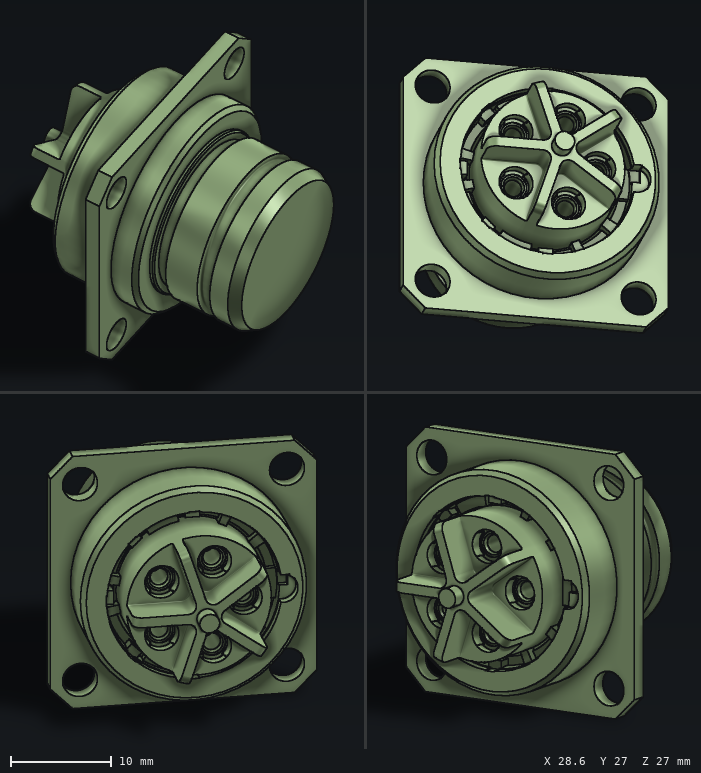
import cadquery as cq
import math


PIN_TIP_X = 0
CORE_FRONT_X = 1.5
POCKET_FLOOR_X = 5.02
EARTH_POCKET_FLOOR_X = 6.0
SHELL_FRONT_X = 7.82
FLANGE_FRONT_X = 13.42
SHELL_BACK_X = 18.05
COLLAR_BACK_X = 18.53
NECK_BACK_X = 19.9
GROOVE_FRONT_X = 23.67
GROOVE_BACK_X = 25.18
TAIL_CHAMFER_X = 27.32
TAIL_END_X = 28.55

PIN_RADIUS = 1.0
CORE_RADIUS = 7.42
CORE_ROUND = 1.0
SHELL_RADIUS = 11.45
SHELL_CHAMFER_RADIAL = 0.49
SHELL_CHAMFER_FRONT = 0.57
SHELL_CHAMFER_BACK = 0.49
COLLAR_RADIUS = 9.0
COLLAR_CHAMFER = 0.17
NECK_RADIUS = 8.08
TAIL_RADIUS = 8.88
TAIL_END_RADIUS = 8.2
GROOVE_RADIUS = 8.2
GROOVE_ROUND = 0.25

BORE_RADIUS = 8.88
BORE_DEPTH = 2.28
BORE_FLOOR_X = SHELL_FRONT_X + BORE_DEPTH
BORE_LIP_DEPTH = 0.95
LINER_MOUTH_RADIUS = 8.8
LINER_RADIUS = 8.68
LINER_LEAD_IN = 0.7
LINER_CHAMFER_RADIUS = 7.77
LINER_CHAMFER_DEPTH = 0.43
RIB_FRONT_X = SHELL_FRONT_X + 1.43
RIB_SECTORS = [(8, 15), (111.5, 118), (140.6, 148.4)]
WIDE_RIB_SECTOR = (55.5, 80)
LINER_CLEARANCE = 0.15
LATCH_ANGLES = [-90, -45, 0, 45, 90]
LATCH_FRONT_X = SHELL_FRONT_X + 1.0
LATCH_INNER_RADIUS = 7.97
LATCH_WIDTH = 1.45
LATCH_NOTCH_RADIUS = 8.95
LATCH_NOTCH_WIDTH = 1.03
KEY_FRONT_X = SHELL_FRONT_X + 1.7
KEY_WIDTH = 3.2

KEYWAY_RADIUS = 1.48
KEYWAY_CENTRE = 9.0
KEYWAY_DEPTH = 1.0
KEYWAY_STEP_REACH = 9.62
KEYWAY_STEP_DEPTH = 0.57

FLANGE_SIDE = 27.0
FLANGE_THICKNESS = 1.65
FLANGE_CHAMFER = 2.25
FLANGE_HOLE_DIAMETER = 3.5
FLANGE_HOLE_PITCH = 20.95

CONTACT_COUNT = 5
CONTACT_STEP = 360 / CONTACT_COUNT
WALL_THICKNESS = 1.05
POCKET_CORNER_ROUND = 0.85
POCKET_FLOOR_ROUND = 0.17
POCKET_OVERRUN = 1.15
EARTH_ANGLE = 180

CONTACT_PITCH_RADIUS = 4.77
WELL_RADIUS = 1.7
WELL_FLOOR_RADIUS = 1.5
WELL_DEPTH = 1.0
WELL_TAPER_HEIGHT = 2.4
CONTACT_RADIUS = 1.3
CONTACT_RECESS = 0.1
CONTACT_MOUTH_RADIUS = 1.08
CONTACT_MOUTH_DEPTH = 0.37
CONTACT_BORE_RADIUS = 0.89
CONTACT_BORE_DEPTH = 4.0


def disc(front_x, length, radius):
    """Cylinder on the X axis."""
    return cq.Workplane("YZ", origin=(front_x, 0, 0)).circle(radius).extrude(length)


def cone(front_x, length, front_radius, back_radius):
    """Truncated cone on the X axis."""
    back_x = front_x + length
    return (
        cq.Workplane("XY")
        .polyline([(front_x, 0), (front_x, front_radius), (back_x, back_radius), (back_x, 0)])
        .close()
        .revolve(360, (0, 0, 0), (1, 0, 0))
    )


def block(front_x, length, inner, outer, width):
    """Box lying along +Y, between two distances from the axis."""
    box = cq.Workplane("XY").box(length, outer - inner, width, centered=(False, False, True))
    return box.translate((front_x, inner, 0))


def turn(solid, angle):
    """Rotate about the X axis; +Y turns towards +Z."""
    return solid.rotate((0, 0, 0), (1, 0, 0), angle)


def turned_body():
    arc_mid = CORE_ROUND * math.sqrt(0.5)
    liner_mouth_x = SHELL_FRONT_X + BORE_LIP_DEPTH
    chamfered_radius = SHELL_RADIUS - SHELL_CHAMFER_RADIAL
    return (
        cq.Workplane("XY")
        .moveTo(PIN_TIP_X, 0)
        .lineTo(PIN_TIP_X, PIN_RADIUS)
        .lineTo(CORE_FRONT_X, PIN_RADIUS)
        .lineTo(CORE_FRONT_X, CORE_RADIUS - CORE_ROUND)
        .threePointArc(
            (CORE_FRONT_X + CORE_ROUND - arc_mid, CORE_RADIUS - CORE_ROUND + arc_mid),
            (CORE_FRONT_X + CORE_ROUND, CORE_RADIUS),
        )
        .lineTo(BORE_FLOOR_X + LINER_CHAMFER_DEPTH, CORE_RADIUS)
        .lineTo(BORE_FLOOR_X, LINER_CHAMFER_RADIUS)
        .lineTo(BORE_FLOOR_X, LINER_RADIUS)
        .lineTo(liner_mouth_x + LINER_LEAD_IN, LINER_RADIUS)
        .lineTo(liner_mouth_x, LINER_MOUTH_RADIUS)
        .lineTo(liner_mouth_x, BORE_RADIUS)
        .lineTo(SHELL_FRONT_X, BORE_RADIUS)
        .lineTo(SHELL_FRONT_X, chamfered_radius)
        .lineTo(SHELL_FRONT_X + SHELL_CHAMFER_FRONT, SHELL_RADIUS)
        .lineTo(SHELL_BACK_X - SHELL_CHAMFER_BACK, SHELL_RADIUS)
        .lineTo(SHELL_BACK_X, chamfered_radius)
        .lineTo(SHELL_BACK_X, COLLAR_RADIUS)
        .lineTo(COLLAR_BACK_X - COLLAR_CHAMFER, COLLAR_RADIUS)
        .lineTo(COLLAR_BACK_X, COLLAR_RADIUS - COLLAR_CHAMFER)
        .lineTo(COLLAR_BACK_X, NECK_RADIUS)
        .lineTo(NECK_BACK_X, NECK_RADIUS)
        .lineTo(NECK_BACK_X, TAIL_RADIUS)
        .lineTo(GROOVE_FRONT_X, TAIL_RADIUS)
        .lineTo(GROOVE_FRONT_X, GROOVE_RADIUS + GROOVE_ROUND)
        .radiusArc((GROOVE_FRONT_X + GROOVE_ROUND, GROOVE_RADIUS), -GROOVE_ROUND)
        .lineTo(GROOVE_BACK_X - GROOVE_ROUND, GROOVE_RADIUS)
        .radiusArc((GROOVE_BACK_X, GROOVE_RADIUS + GROOVE_ROUND), -GROOVE_ROUND)
        .lineTo(GROOVE_BACK_X, TAIL_RADIUS)
        .lineTo(TAIL_CHAMFER_X, TAIL_RADIUS)
        .lineTo(TAIL_END_X, TAIL_END_RADIUS)
        .lineTo(TAIL_END_X, 0)
        .close()
        .revolve(360, (0, 0, 0), (1, 0, 0))
    )


def flange():
    plate = (
        cq.Workplane("YZ", origin=(FLANGE_FRONT_X, 0, 0))
        .rect(FLANGE_SIDE, FLANGE_SIDE)
        .extrude(FLANGE_THICKNESS)
        .edges("|X")
        .chamfer(FLANGE_CHAMFER)
        .faces("<X")
        .workplane()
        .rect(FLANGE_HOLE_PITCH, FLANGE_HOLE_PITCH, forConstruction=True)
        .vertices()
        .hole(FLANGE_HOLE_DIAMETER)
    )
    return plate.cut(disc(FLANGE_FRONT_X, FLANGE_THICKNESS, CORE_RADIUS))


def contact_pocket(floor_x):
    """Wedge along +Y between two neighbouring walls, rounded at the hub and at the floor."""
    half_angle = math.radians(CONTACT_STEP / 2)
    apex = WALL_THICKNESS / 2 / math.sin(half_angle)
    reach = CORE_RADIUS + POCKET_OVERRUN
    half_width = (reach - apex) * math.tan(half_angle)
    return (
        cq.Workplane("YZ", origin=(PIN_TIP_X, 0, 0))
        .polyline([(apex, 0), (reach, half_width), (reach, -half_width)])
        .close()
        .extrude(floor_x - PIN_TIP_X)
        .edges("|X and <Y")
        .fillet(POCKET_CORNER_ROUND)
        .faces(">X")
        .edges()
        .fillet(POCKET_FLOOR_ROUND)
    )


def contact_hole(floor_x):
    """Well with a sunk socket contact, to be cut on the X axis."""
    well = disc(floor_x, WELL_DEPTH, WELL_RADIUS)
    taper = well.cut(cone(floor_x, WELL_DEPTH, WELL_RADIUS, WELL_FLOOR_RADIUS))
    side_band = cq.Workplane("XY").box(2 * TAIL_END_X, 2 * WELL_RADIUS, WELL_TAPER_HEIGHT)
    well_floor_x = floor_x + WELL_DEPTH
    contact_x = well_floor_x + CONTACT_RECESS
    return (
        well.cut(taper.intersect(side_band))
        .union(disc(well_floor_x, CONTACT_RECESS, CONTACT_RADIUS))
        .union(cone(contact_x, CONTACT_MOUTH_DEPTH, CONTACT_MOUTH_RADIUS, CONTACT_BORE_RADIUS))
        .union(disc(contact_x, CONTACT_BORE_DEPTH, CONTACT_BORE_RADIUS))
    )


def rib(start, end, inner_radius):
    """Raised sector of the liner between two angles."""
    reach = 2 * BORE_RADIUS
    corners = [(reach * math.cos(math.radians(a)), reach * math.sin(math.radians(a))) for a in (start, end)]
    length = BORE_FLOOR_X + LINER_CHAMFER_DEPTH - RIB_FRONT_X
    sector = (
        cq.Workplane("YZ", origin=(RIB_FRONT_X, 0, 0)).polyline([(0, 0)] + corners).close().extrude(length)
    )
    ring = disc(RIB_FRONT_X, length, BORE_RADIUS).cut(disc(RIB_FRONT_X, length, inner_radius))
    return sector.intersect(ring)


def keyway():
    """Round recess in the shell face with a deeper step in its upper inner part."""
    recess = (
        cq.Workplane("YZ", origin=(SHELL_FRONT_X, 0, 0))
        .center(-KEYWAY_CENTRE, 0)
        .circle(KEYWAY_RADIUS)
        .extrude(KEYWAY_DEPTH)
    )
    step = cq.Workplane("XY").box(
        KEYWAY_DEPTH + KEYWAY_STEP_DEPTH,
        KEYWAY_STEP_REACH - CORE_RADIUS,
        KEYWAY_RADIUS,
        centered=False,
    ).translate((SHELL_FRONT_X, -KEYWAY_STEP_REACH, 0))
    gap_only = disc(SHELL_FRONT_X, KEYWAY_DEPTH + KEYWAY_STEP_DEPTH, CORE_RADIUS)
    return recess.union(step).cut(gap_only)


result = turned_body().union(flange())

for index in range(CONTACT_COUNT):
    angle = EARTH_ANGLE + index * CONTACT_STEP
    floor_x = EARTH_POCKET_FLOOR_X if index == 0 else POCKET_FLOOR_X
    result = result.cut(turn(contact_pocket(floor_x), angle))
    contact_y = CONTACT_PITCH_RADIUS * math.cos(math.radians(angle))
    contact_z = CONTACT_PITCH_RADIUS * math.sin(math.radians(angle))
    result = result.cut(contact_hole(floor_x).translate((0, contact_y, contact_z)))

result = result.cut(keyway())

ribs = [(start, end, CORE_RADIUS) for start, end in RIB_SECTORS]
ribs.append((*WIDE_RIB_SECTOR, CORE_RADIUS + LINER_CLEARANCE))
for start, end, inner_radius in ribs:
    result = result.union(rib(start, end, inner_radius)).union(rib(-end, -start, inner_radius))

latch_length = BORE_FLOOR_X - LATCH_FRONT_X
for angle in LATCH_ANGLES:
    notch = block(SHELL_FRONT_X, BORE_DEPTH, LATCH_INNER_RADIUS, LATCH_NOTCH_RADIUS, LATCH_NOTCH_WIDTH)
    latch = block(LATCH_FRONT_X, latch_length, LATCH_INNER_RADIUS, BORE_RADIUS, LATCH_WIDTH)
    result = result.cut(turn(notch, angle)).union(turn(latch, angle))

key_length = BORE_FLOOR_X + LINER_CHAMFER_DEPTH - KEY_FRONT_X
key = block(KEY_FRONT_X, key_length, CORE_RADIUS + LINER_CLEARANCE, BORE_RADIUS, KEY_WIDTH)
result = result.union(turn(key, EARTH_ANGLE))